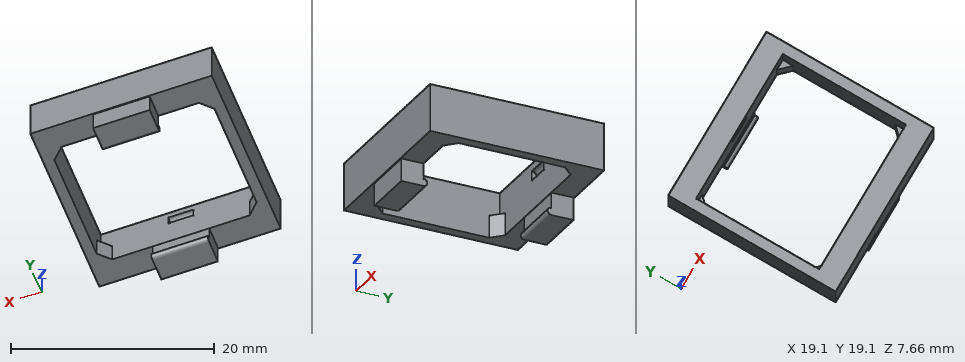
import cadquery as cq

frame_side = 19.05
frame_height = 5.18
opening_x = 16.8
opening_y = 14.0

post_leg = 1.18
post_height = 2.44

groove_length = 2.63
groove_radius = 0.51
groove_center_z = 3.83

clip_width = 5.95
clip_height = 2.48
clip_outer_inset = 0.1
bead_radius = 0.4


def make_corner_post(side_x, side_y):
    """Triangular post filling one corner of the opening."""
    corner_x = side_x * opening_x / 2
    corner_y = side_y * opening_y / 2
    return (
        cq.Workplane("XY")
        .moveTo(corner_x, corner_y)
        .lineTo(corner_x - side_x * post_leg, corner_y)
        .lineTo(corner_x, corner_y - side_y * post_leg)
        .close()
        .extrude(post_height)
    )


def make_groove_cutter(side_y):
    """Cylinder along X, centred on the inner face of a thick wall."""
    return (
        cq.Workplane("YZ")
        .center(side_y * opening_y / 2, groove_center_z)
        .circle(groove_radius)
        .extrude(groove_length / 2, both=True)
    )


def make_frame():
    """Square frame with a rectangular opening, corner posts and grooves."""
    frame = (
        cq.Workplane("XY")
        .rect(frame_side, frame_side)
        .rect(opening_x, opening_y)
        .extrude(frame_height)
    )
    for side_y in (-1, 1):
        frame = frame.cut(make_groove_cutter(side_y))
        for side_x in (-1, 1):
            frame = frame.union(make_corner_post(side_x, side_y))
    return frame


def make_clip(side_y):
    """Block under a thick wall with a half-round bead along its lower inner edge."""
    outer_y = side_y * (frame_side / 2 - clip_outer_inset)
    inner_y = side_y * opening_y / 2
    bead_tip_y = inner_y - side_y * bead_radius
    bead_center_z = bead_radius - clip_height
    return (
        cq.Workplane("YZ")
        .moveTo(outer_y, 0)
        .lineTo(outer_y, -clip_height)
        .lineTo(inner_y, -clip_height)
        .threePointArc((bead_tip_y, bead_center_z), (inner_y, bead_center_z + bead_radius))
        .lineTo(inner_y, 0)
        .close()
        .extrude(clip_width / 2, both=True)
    )


frame = make_frame()
clips = [make_clip(side_y) for side_y in (-1, 1)]

result = cq.Compound.makeCompound([frame.val(), *[clip.val() for clip in clips]])